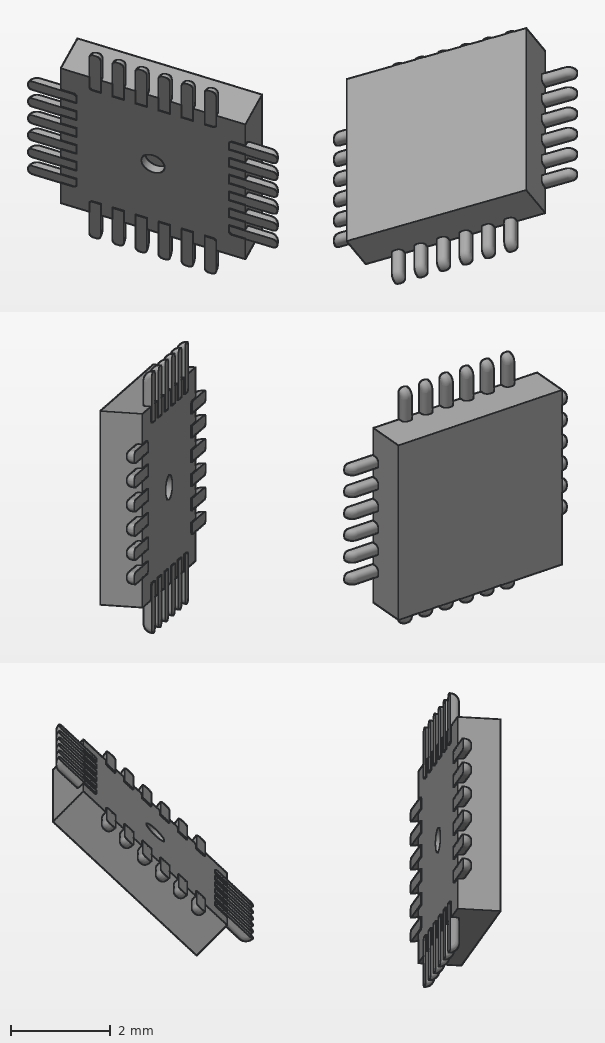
import cadquery as cq

span = 5.4
depth = 0.9
body_side = 4.0
standoff = 0.02

leads_per_side = 6
row_span = 2.5
lead_pitch = row_span / (leads_per_side - 1)
lead_width = 0.25
lead_height = 0.2
lead_length = 1.05
tip_radius = 0.195
edge_radius = 0.1
corner_cut = 0.05

mark_diameter = 0.5
mark_depth = 0.2

seat_y = -depth / 2
face_y = seat_y + standoff
selection_margin = 0.005


def make_body():
    """Square block with a shallow round recess centred in its front face."""
    body_depth = depth - standoff
    body = cq.Workplane("XY").box(body_side, body_depth, body_side)
    body = body.translate((0, standoff / 2, 0))
    mark = cq.Workplane("XZ", origin=(0, face_y, 0)).circle(mark_diameter / 2).extrude(-mark_depth)
    return body.cut(mark)


def make_lead():
    """Lead pointing along +X at mid-height, its seat on the front plane."""
    tip_x = span / 2
    inner_x = tip_x - lead_length
    back_y = seat_y + lead_height
    lead = (
        cq.Workplane("XY", origin=(0, 0, -lead_width / 2))
        .moveTo(inner_x, seat_y)
        .lineTo(tip_x, seat_y)
        .lineTo(tip_x, back_y - tip_radius)
        .radiusArc((tip_x - tip_radius, back_y), -tip_radius)
        .lineTo(inner_x, back_y)
        .close()
        .extrude(lead_width)
    )
    rounded_zone = cq.selectors.BoxSelector(
        (inner_x + selection_margin, seat_y + selection_margin, -lead_width),
        (tip_x + selection_margin, back_y + selection_margin, lead_width),
    )
    return lead.faces("<Z or >Z").edges(rounded_zone).fillet(edge_radius)


def make_lead_row():
    """Row of leads along +X; the end leads have their outward inner corner cut."""
    lead = make_lead()
    inner_x = span / 2 - lead_length
    row = cq.Workplane("XY")
    for index in range(leads_per_side):
        row = row.add(lead.translate((0, 0, index * lead_pitch - row_span / 2)))
    row = row.combine()
    for side in (1, -1):
        corner_z = side * (row_span + lead_width) / 2
        cut = (
            cq.Workplane("XZ", origin=(0, seat_y, 0))
            .moveTo(inner_x, corner_z)
            .lineTo(inner_x + corner_cut, corner_z)
            .lineTo(inner_x, corner_z - side * corner_cut)
            .close()
            .extrude(-standoff)
        )
        row = row.cut(cut)
    return row


result = make_body()
lead_row = make_lead_row()
for quarter in range(4):
    result = result.union(lead_row.rotate((0, 0, 0), (0, 1, 0), quarter * 90))